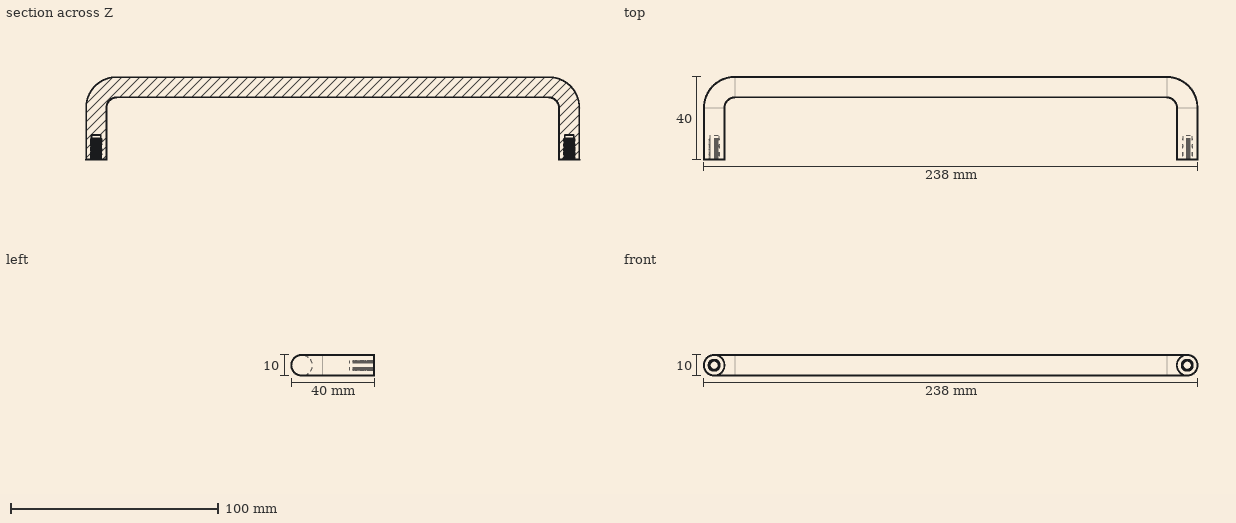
import cadquery as cq

overall_length = 238.0
overall_depth = 40.0
rod_diameter = 10.0
bend_radius = 10.0

core_diameter = 4.3
thread_diameter = 5.0
mouth_diameter = 5.5
hole_depth = 12.0
thread_pitch = 0.8
thread_turns = 12

rod_radius = rod_diameter / 2
leg_x = overall_length / 2 - rod_radius
grip_y = overall_depth - rod_radius


def bent_rod():
    """Round rod swept up one leg, along the grip and down the other leg."""
    path = (
        cq.Workplane("XY")
        .moveTo(-leg_x, 0)
        .lineTo(-leg_x, grip_y - bend_radius)
        .radiusArc((-leg_x + bend_radius, grip_y), bend_radius)
        .lineTo(leg_x - bend_radius, grip_y)
        .radiusArc((leg_x, grip_y - bend_radius), bend_radius)
        .lineTo(leg_x, 0)
    )
    return cq.Workplane("XZ", origin=(-leg_x, 0, 0)).circle(rod_radius).sweep(path)


def mounting_hole():
    """Cutter for one blind hole along Y: 45 degree countersink, V grooves for the thread, plain core."""
    core_radius = core_diameter / 2
    thread_radius = thread_diameter / 2
    mouth_radius = mouth_diameter / 2
    countersink_depth = mouth_radius - core_radius

    profile = (
        cq.Workplane("XY")
        .moveTo(0, 0)
        .lineTo(mouth_radius, 0)
        .lineTo(core_radius, countersink_depth)
    )
    for turn in range(thread_turns):
        groove_start = countersink_depth + turn * thread_pitch
        profile = profile.lineTo(thread_radius, groove_start + thread_pitch / 2)
        profile = profile.lineTo(core_radius, groove_start + thread_pitch)
    profile = profile.lineTo(core_radius, hole_depth).lineTo(0, hole_depth).close()
    return profile.revolve(360, (0, 0, 0), (0, 1, 0))


result = bent_rod()
for leg_side in (-1, 1):
    result = result.cut(mounting_hole().translate((leg_side * leg_x, 0, 0)))